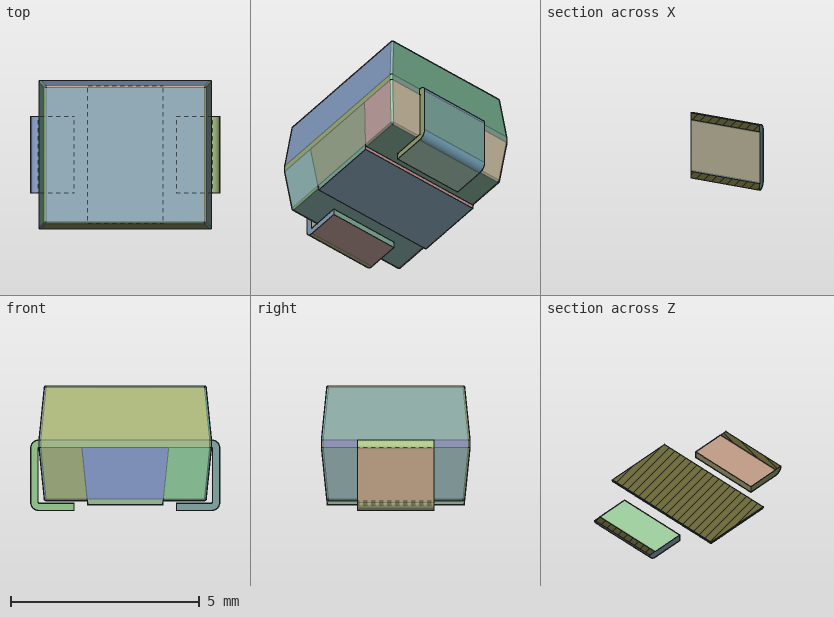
import cadquery as cq

overall_height = 3.3
overall_length = 5.01
housing_length = 4.57
housing_width = 3.94
housing_bottom = 0.26
band_bottom = 1.67
band_height = 0.2
band_top = band_bottom + band_height
side_inset = 0.145
edge_radius = 0.05

pedestal_top_length = 2.3
pedestal_bottom = 0.15
lower_slope = side_inset / (band_bottom - housing_bottom)
pedestal_inset = lower_slope * (band_bottom - pedestal_bottom)

lead_thickness = 0.2
lead_width = 2.03
lead_reach = 1.15
bend_outer_radius = (overall_length - housing_length) / 2
bend_inner_radius = bend_outer_radius - lead_thickness


def tapered_block(length, width, z_start, z_end, inset):
    """Loft a centred rectangle at z_start to one smaller by inset on every side at z_end."""
    return (
        cq.Workplane("XY")
        .workplane(offset=z_start)
        .rect(length, width)
        .workplane(offset=z_end - z_start)
        .rect(length - 2 * inset, width - 2 * inset)
        .loft(ruled=True)
    )


def make_housing():
    upper = tapered_block(housing_length, housing_width, band_top, overall_height, side_inset)
    band = tapered_block(housing_length, housing_width, band_bottom, band_top, 0)
    lower = tapered_block(housing_length, housing_width, band_bottom, housing_bottom, side_inset)
    shell = upper.union(band).union(lower)
    shell = shell.edges("(not #Z) and (not |X) and (not |Y)").fillet(edge_radius)
    shell = shell.faces("<Z or >Z").edges().fillet(edge_radius)
    pedestal = tapered_block(
        pedestal_top_length, housing_width, band_bottom, pedestal_bottom, pedestal_inset
    )
    return shell.union(pedestal, clean=False)


def make_left_lead():
    outer_x = -overall_length / 2
    inner_x = outer_x + lead_thickness
    bend_end_x = outer_x + bend_outer_radius
    foot_end_x = outer_x + lead_reach
    upper_bend_z = band_top - bend_outer_radius
    lower_bend_z = bend_outer_radius
    return (
        cq.Workplane("XZ")
        .moveTo(foot_end_x, 0)
        .lineTo(bend_end_x, 0)
        .radiusArc((outer_x, lower_bend_z), bend_outer_radius)
        .lineTo(outer_x, upper_bend_z)
        .radiusArc((bend_end_x, band_top), bend_outer_radius)
        .lineTo(bend_end_x, band_top - lead_thickness)
        .radiusArc((inner_x, upper_bend_z), -bend_inner_radius)
        .lineTo(inner_x, lower_bend_z)
        .radiusArc((bend_end_x, lead_thickness), -bend_inner_radius)
        .lineTo(foot_end_x, lead_thickness)
        .close()
        .extrude(lead_width / 2, both=True)
    )


housing = make_housing()
leads = [make_left_lead().rotate((0, 0, 0), (0, 0, 1), angle) for angle in (0, 180)]

result = cq.Compound.makeCompound([housing.val(), *[lead.val() for lead in leads]])